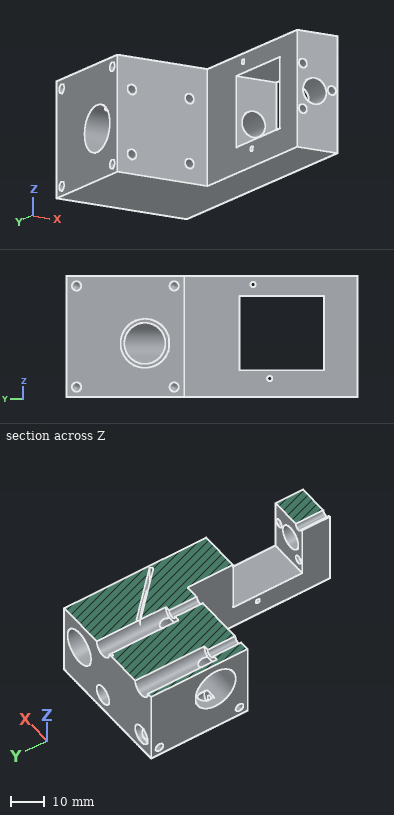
import cadquery as cq
import math

width = 45.2
length = 86.4
height = 36.0
arm_width = 14.0
block_length = 35.0
arm_left = width - arm_width
block_front = length - block_length

beam_x = 37.2
lens_y = 63.1
inlet_z = height / 2
optic_z = 16.0
beam_diameter = 8.0
lens_bore_diameter = 14.5
exit_bore_diameter = 12.2

mirror_x = 36.2
mirror_y = 63.4
mirror_length = 22.0
mirror_thickness = 1.0
mirror_angle = -45.0
slot_bottom = optic_z - mirror_length / 2

window_front = 10.0
window_length = 25.0
window_bottom = 8.0
window_height = 21.9
window_back = window_front + window_length

mount_diameter = 3.0
mount_head_diameter = 6.5
mount_seat = 10.0
mount_left = 5.0
mount_bottom = 6.05
mount_pitch = 19.95

lens_screw_diameter = 2.8
lens_screw_inset = 3.0
lens_screw_depth = 10.0
drill_point_angle = 118.0

source_screw_diameter = 2.8
source_screws = [(33.2, 12.0), (33.2, 26.0), (43.2, 19.0)]

pin_diameter = 1.5
pins = [(26.1, 5.5), (31.0, 33.4)]


def box_at(corner, size):
    """Axis-aligned box with its lowest corner at the given point."""
    return cq.Workplane("XY").box(*size, centered=False).translate(corner)


def rod_along_x(y, z, diameter, start, end):
    """Cylinder parallel to X, from start to end."""
    plane = cq.Workplane("YZ", origin=(start, y, z))
    return plane.circle(diameter / 2).extrude(end - start)


def rod_along_y(x, z, diameter, start, end):
    """Cylinder parallel to Y, from start to end; the XZ plane normal points to -Y."""
    plane = cq.Workplane("XZ", origin=(x, end, z))
    return plane.circle(diameter / 2).extrude(end - start)


def place_at_mirror(shape):
    """Turn a shape drawn about the origin to the mirror angle and move it to the mirror."""
    return shape.rotate((0, 0, 0), (0, 0, 1), mirror_angle).translate((mirror_x, mirror_y, 0))


def body():
    arm = box_at((arm_left, 0, 0), (arm_width, length, height))
    block = box_at((0, block_front, 0), (width, block_length, height))
    return arm.union(block)


def window():
    return box_at((arm_left, window_front, window_bottom), (arm_width, window_length, window_height))


def mirror_slot():
    corner = (-mirror_length / 2, -mirror_thickness / 2, slot_bottom)
    return place_at_mirror(box_at(corner, (mirror_length, mirror_thickness, height - slot_bottom)))


def beam_bores():
    """Inlet, middle, lens and exit bores; the lens and exit bores meet at the mirror plane."""
    behind_mirror = place_at_mirror(box_at((-length, 0, 0), (2 * length, length, height)))
    inlet = rod_along_y(beam_x, inlet_z, beam_diameter, 0, window_front)
    middle = rod_along_y(beam_x, optic_z, beam_diameter, window_back, mirror_y)
    lens = rod_along_x(lens_y, optic_z, lens_bore_diameter, 0, width).cut(behind_mirror)
    exit_bore = rod_along_y(beam_x, optic_z, exit_bore_diameter, block_front, length)
    return [inlet, middle, lens, exit_bore.intersect(behind_mirror)]


def mounting_holes():
    """Through holes with deep counterbores from the +Y face."""
    cutters = []
    for x in (mount_left, mount_left + mount_pitch):
        for z in (mount_bottom, mount_bottom + mount_pitch):
            cutters.append(rod_along_y(x, z, mount_diameter, block_front, length))
            cutters.append(rod_along_y(x, z, mount_head_diameter, block_front + mount_seat, length))
    return cutters


def lens_screw_hole(y, z):
    """Blind hole from the -X face with a conical drill point."""
    radius = lens_screw_diameter / 2
    tip = lens_screw_depth + radius / math.tan(math.radians(drill_point_angle / 2))
    profile = [(0, 0), (0, radius), (lens_screw_depth, radius), (tip, 0)]
    plane = cq.Workplane("XY", origin=(0, y, z))
    return plane.polyline(profile).close().revolve(360, (0, 0, 0), (1, 0, 0))


def lens_screw_holes():
    y_places = (block_front + lens_screw_inset, length - lens_screw_inset)
    z_places = (lens_screw_inset, height - lens_screw_inset)
    return [lens_screw_hole(y, z) for y in y_places for z in z_places]


def source_screw_holes():
    return [rod_along_y(x, z, source_screw_diameter, 0, window_front) for x, z in source_screws]


def pin_holes():
    return [rod_along_x(y, z, pin_diameter, arm_left, width) for y, z in pins]


result = body().cut(window()).cut(mirror_slot())
for cutter in beam_bores() + mounting_holes() + lens_screw_holes() + source_screw_holes() + pin_holes():
    result = result.cut(cutter)